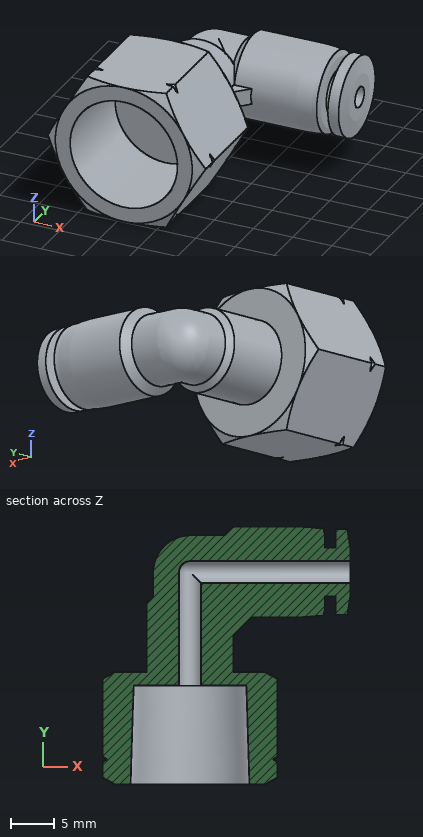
import cadquery as cq
import math

overall_x = 28.6
overall_y = 29.75

nut_across_flats = 17.45
nut_height = 13.0
nut_flat_radius = nut_across_flats / 2
nut_corner_radius = nut_flat_radius / math.cos(math.radians(30))
corner_chamfer_length = (nut_corner_radius - nut_flat_radius) * math.tan(math.radians(30))
groove_depth = 0.45
groove_half_width = 0.3
groove_offset = 2.92

socket_mouth_radius = 6.85
socket_floor_radius = 6.5
socket_depth = 11.42
passage_radius = 1.25

neck_radius = 4.25
stem_radius = 5.0
stem_shoulder = 3.5
stem_chamfer = stem_radius - neck_radius

body_radius = 5.25
body_start = 4.0
body_curve_start = 12.82
body_rim_start = 14.82
body_end = 15.6
body_rim_radius = 5.05
body_lip_length = 0.18
body_face_radius = 4.3
body_cone_length = body_radius - neck_radius
sleeve_radius = 2.83
collar_start = 16.8
collar_radius = 4.97
collar_edge = 18.18
collar_face_radius = 2.8

web_thickness = 2.0
web_tip = 12.35

nut_face = body_radius - overall_y
nut_back = nut_face + nut_height
leg_end = overall_x - nut_corner_radius


def revolve_about_y(outline):
    """Turn an outline of (radius, y) points about the Y axis."""
    return cq.Workplane("XY").polyline(outline).close().revolve(360, (0, 0, 0), (0, 1, 0))


def cylinder_x(radius, length):
    return cq.Workplane("YZ").circle(radius).extrude(length)


def make_nut():
    hexagon = (
        cq.Workplane("XZ", origin=(0, nut_back, 0))
        .polygon(6, 2 * nut_corner_radius)
        .extrude(nut_height)
    )
    chamfer_envelope = revolve_about_y([
        (0, nut_face),
        (nut_flat_radius, nut_face),
        (nut_corner_radius, nut_face + corner_chamfer_length),
        (nut_corner_radius, nut_back - corner_chamfer_length),
        (nut_flat_radius, nut_back),
        (0, nut_back),
    ])
    groove_y = nut_face + groove_offset
    groove_root = nut_corner_radius - groove_depth
    groove = revolve_about_y([
        (groove_root, groove_y),
        (nut_corner_radius, groove_y - groove_half_width),
        (nut_corner_radius, groove_y + groove_half_width),
    ])
    return hexagon.intersect(chamfer_envelope).cut(groove)


def make_threaded_leg():
    return revolve_about_y([
        (0, 0),
        (neck_radius, 0),
        (neck_radius, stem_chamfer - stem_shoulder),
        (stem_radius, -stem_shoulder),
        (stem_radius, nut_back),
        (0, nut_back),
    ])


def make_tube_leg():
    return (
        cq.Workplane("XY")
        .lineTo(0, neck_radius)
        .lineTo(body_start, neck_radius)
        .lineTo(body_start + body_cone_length, body_radius)
        .lineTo(body_curve_start, body_radius)
        .tangentArcPoint((body_rim_start, body_rim_radius), relative=False)
        .lineTo(body_end - body_lip_length, body_rim_radius)
        .lineTo(body_end, body_face_radius)
        .lineTo(body_end, sleeve_radius)
        .lineTo(collar_start, sleeve_radius)
        .lineTo(collar_start, collar_radius)
        .lineTo(collar_edge, collar_radius)
        .lineTo(leg_end, collar_face_radius)
        .lineTo(leg_end, 0)
        .close()
        .revolve(360, (0, 0, 0), (1, 0, 0))
    )


def make_web():
    return (
        cq.Workplane("XY")
        .polyline([(0, 0), (web_tip, 0), (0, -web_tip)])
        .close()
        .extrude(web_thickness / 2, both=True)
    )


def make_bores():
    socket = revolve_about_y([
        (0, nut_face),
        (socket_mouth_radius, nut_face),
        (socket_floor_radius, nut_face + socket_depth),
        (0, nut_face + socket_depth),
    ])
    threaded_passage = cq.Workplane("XZ").circle(passage_radius).extrude(-nut_face)
    elbow_passage = cq.Workplane("XY").sphere(passage_radius)
    return (
        threaded_passage
        .union(cylinder_x(passage_radius, leg_end))
        .union(elbow_passage)
        .union(socket)
    )


outside = (
    make_threaded_leg()
    .union(make_tube_leg())
    .union(cq.Workplane("XY").sphere(neck_radius))
    .union(make_web())
    .union(make_nut())
)
result = outside.cut(make_bores())